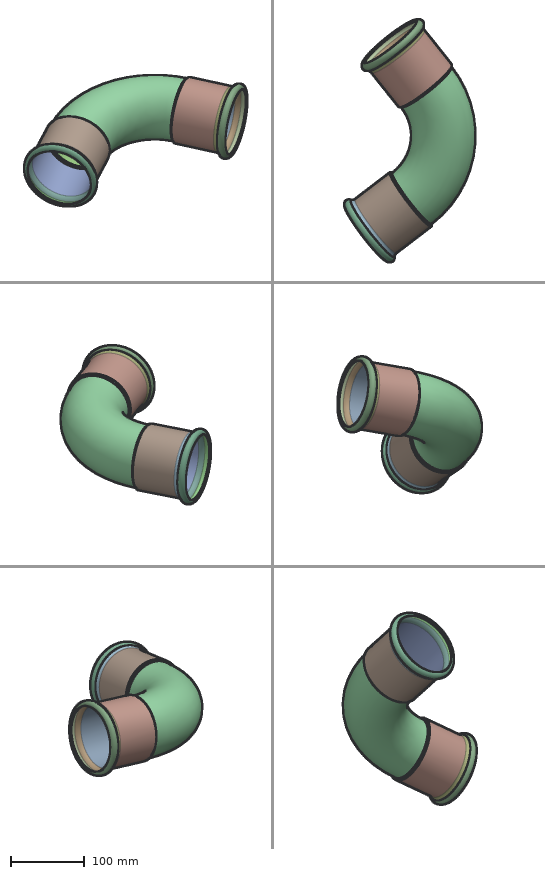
import cadquery as cq
import math

overall = 242.0
rim_radius = 52.4
wall = 2.2
pipe_radius = 44.0
socket_radius = 46.5
mouth_radius = 45.5

bead_length = 11.9
bead_root = 11.4
flare_end = 17.0
shoulder_start = 77.2
socket_length = 79.4

bead_radius = bead_length / 2
ring_radius = rim_radius - bead_radius
flare_mid_radius = 47.0
flare_mid = (bead_root + flare_end) / 2
root_angle = math.asin((bead_root - bead_radius) / bead_radius)
lip_angle = math.acos((mouth_radius - ring_radius) / bead_radius)

axis_offset = rim_radius
bend_radius = overall - axis_offset - socket_length
pipe_bore = pipe_radius - wall
socket_bore = socket_radius - wall


def ring_point(radius, angle):
    """Point on a circle about the middle of the bead's section."""
    return (ring_radius + radius * math.cos(angle), bead_radius + radius * math.sin(angle))


def make_socket():
    """Hollow socket revolved about Y, with its open end at Y = 0."""
    groove_radius = bead_radius - wall
    lip_start = ring_point(bead_radius, -lip_angle)
    profile = (
        cq.Workplane("XY")
        .moveTo(*lip_start)
        .threePointArc(ring_point(bead_radius, 0), ring_point(bead_radius, root_angle))
        .threePointArc((flare_mid_radius, flare_mid), (socket_radius, flare_end))
        .lineTo(socket_radius, shoulder_start)
        .lineTo(pipe_radius, socket_length)
        .lineTo(pipe_bore, socket_length)
        .lineTo(socket_bore, shoulder_start)
        .lineTo(socket_bore, flare_end)
        .threePointArc((flare_mid_radius - wall, flare_mid), ring_point(groove_radius, root_angle))
        .threePointArc(ring_point(groove_radius, 0), ring_point(groove_radius, -lip_angle))
        .close()
    )
    return profile.revolve(360, (0, 0, 0), (0, 1, 0))


def make_bend():
    """Quarter-turn tube joining the inner ends of the two sockets."""
    arc_offset = bend_radius * (1 - math.sqrt(0.5))
    path = (
        cq.Workplane("XY")
        .moveTo(0, socket_length)
        .threePointArc(
            (arc_offset, socket_length + bend_radius - arc_offset),
            (bend_radius, socket_length + bend_radius),
        )
    )
    section = cq.Workplane("XZ", origin=(0, socket_length, 0)).circle(pipe_radius).circle(pipe_bore)
    return section.sweep(path)


socket = make_socket()

leg_length = socket_length + bend_radius
side_socket = socket.rotate((0, 0, 0), (0, 0, 1), 90).translate((leg_length, leg_length, 0))

elbow = socket.union(make_bend()).union(side_socket)

result = elbow.translate((axis_offset - overall / 2, -overall / 2, 0))